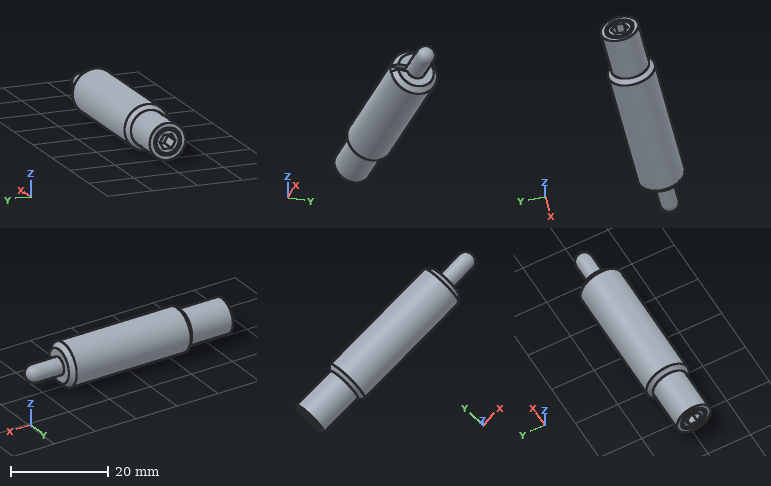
import cadquery as cq
import math

shank_diameter = 8.0
shank_length = 10.0
body_diameter = 10.0
body_length = 30.0
body_end = shank_length + body_length
rear_chamfer = (body_diameter - shank_diameter) / 2
front_chamfer = 1.15

pin_diameter = 4.0
pin_radius = pin_diameter / 2
pin_length = 8.0
pin_end = body_end + pin_length

slot_width = 1.3
slot_depth = 1.5

groove_outer_diameter = 6.0
groove_bottom_diameter = 5.35
screw_face_diameter = 4.92
groove_depth = (groove_outer_diameter - groove_bottom_diameter) / 2
hex_across_flats = 3.0
hex_depth = 4.0
hex_sides = 6


def make_body():
    """Shank and chamfered body, turned about the X axis."""
    shank_radius = shank_diameter / 2
    body_radius = body_diameter / 2
    profile = (
        cq.Workplane("XY")
        .moveTo(0, 0)
        .lineTo(0, shank_radius)
        .lineTo(shank_length, shank_radius)
        .lineTo(shank_length + rear_chamfer, body_radius)
        .lineTo(body_end - front_chamfer, body_radius)
        .lineTo(body_end, body_radius - front_chamfer)
        .lineTo(body_end, 0)
        .close()
    )
    return profile.revolve(360, (0, 0, 0), (1, 0, 0))


def make_slot():
    """Slot from the -Y side of the body in to the pin, open at the front face."""
    return (
        cq.Workplane("XZ", origin=(body_end - slot_depth / 2, 0, 0))
        .rect(slot_depth, slot_width)
        .extrude(body_diameter / 2)
    )


def make_pin():
    """Pin with a hemispherical nose, rooted at the floor of the slot."""
    pin_root = body_end - slot_depth
    nose_start = pin_end - pin_radius
    nose_middle = pin_radius * math.sqrt(0.5)
    profile = (
        cq.Workplane("XY")
        .moveTo(pin_root, 0)
        .lineTo(pin_root, pin_radius)
        .lineTo(nose_start, pin_radius)
        .threePointArc((nose_start + nose_middle, nose_middle), (pin_end, 0))
        .close()
    )
    return profile.revolve(360, (0, 0, 0), (1, 0, 0))


def make_groove():
    """V groove between the countersunk shank and the chamfered set screw."""
    profile = (
        cq.Workplane("XY")
        .moveTo(0, screw_face_diameter / 2)
        .lineTo(groove_depth, groove_bottom_diameter / 2)
        .lineTo(0, groove_outer_diameter / 2)
        .close()
    )
    return profile.revolve(360, (0, 0, 0), (1, 0, 0))


def make_hex_socket():
    """Hex socket with its flats facing up and down and corners along Y."""
    return (
        cq.Workplane("YZ")
        .polygon(hex_sides, hex_across_flats, circumscribed=True)
        .extrude(hex_depth)
        .rotate((0, 0, 0), (1, 0, 0), 180 / hex_sides)
    )


result = (
    make_body()
    .cut(make_slot())
    .union(make_pin())
    .cut(make_groove())
    .cut(make_hex_socket())
)